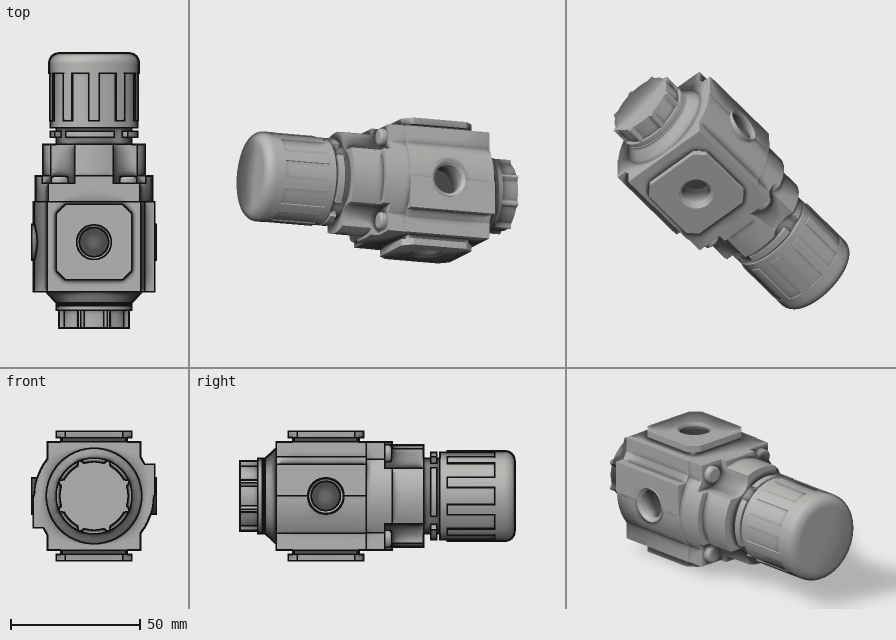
import cadquery as cq
import math


CAP_END_Y = -33.25
CAP_COLLAR_Y = -26.35
GROOVE_OUTER_Y = -24.65
GROOVE_INNER_Y = -24.05
CONE_END_Y = -23.4
HOUSING_END_Y = -19.3
JOINT_Y = 15.7
POCKET_FLOOR_Y = 22.75
FLANGE_TOP_Y = 25.7
BONNET_TOP_Y = 37.9
RING_BOTTOM_Y = 40.6
RING_TOP_Y = 43.0
KNOB_BOTTOM_Y = 44.2
RIB_BOTTOM_Y = 47.1
RIB_TOP_Y = 65.4
OVERALL_LENGTH = 106.5
KNOB_END_Y = CAP_END_Y + OVERALL_LENGTH

HALF_HEIGHT = 21.0
HOUSING_HALF_WIDTH = 18.1
HOUSING_RADIUS = 23.1
PAD_X = 23.6
PAD_HALF_WIDTH = 12.3
PAD_CHAMFER_TOP_X = 19.6
PAD_CHAMFER_BASE_Z = 15.1
CONE_RADIUS = 18.5

PLATE_TOP_Z = 25.125
PLATE_BOTTOM_Z = 22.6
PLATE_SIZE = 29.3
PLATE_CHAMFER = 3.55
PLATE_NECK_SIZE = 25.8
PLATE_NECK_CHAMFER = 0.7
SIDE_BOSS_X = 24.2
SIDE_BOSS_RADIUS = 7.0
PORT_RADIUS = 5.65
PORT_DEPTH = 12.0
PLATE_PORT_CHAMFER = 1.05
SIDE_PORT_CHAMFER = 1.15

COLLAR_RADIUS = 14.7
GROOVE_RADIUS = 13.7
CAP_RADIUS = 14.65
CAP_ROOT_RADIUS = 13.2
RECESS_COUNT = 8
RECESS_FLOOR_HALF_WIDTH = 3.75
RECESS_MOUTH_HALF_WIDTH = 5.2

FLANGE_HALF_WIDTH = 17.75
FLANGE_RADIUS = 22.75
BONNET_RADIUS = 19.85
SCREW_X = 13.3
SCREW_Z = 16.55
POCKET_RADIUS = 5.8
SCREW_HEAD_RADIUS = 3.35
SCREW_HEAD_HEIGHT = 2.7
SCREW_HEAD_FILLET = 1.1
NECK_RADIUS = 14.7
RING_RADIUS = 17.0
NOTCH_COUNT = 4
NOTCH_RADIUS = 3.4
NOTCH_ANGLE = math.degrees(math.atan2(SCREW_Z, SCREW_X))

KNOB_RADIUS = 17.5
GRIP_RADIUS = 17.0
KNOB_FILLET = 4.0
RIB_COUNT = 10
RIB_WIDTH = 4.1


def section_at(y):
    """Workplane at station y with local axes X and Z; extruding goes toward -Y."""
    return cq.Workplane("XZ", origin=(0, y, 0))


def disc(radius, y_low, y_high):
    return section_at(y_high).circle(radius).extrude(y_high - y_low)


def block(half_width, radius, y_low, y_high):
    """Rectangle widened by a cylinder that is cut off flush with its top and bottom."""
    length = y_high - y_low
    core = section_at(y_high).rect(2 * half_width, 2 * HALF_HEIGHT).extrude(length)
    bulge_limit = section_at(y_high).rect(2 * radius, 2 * HALF_HEIGHT).extrude(length)
    return core.union(disc(radius, y_low, y_high).intersect(bulge_limit))


def side_pad():
    """Flat pad on the lower half of the -X side."""
    return (
        section_at(JOINT_Y)
        .polyline([
            (0, 0),
            (-PAD_X, 0),
            (-PAD_X, -PAD_HALF_WIDTH),
            (-PAD_CHAMFER_TOP_X, -PAD_HALF_WIDTH),
            (-HOUSING_HALF_WIDTH, -PAD_CHAMFER_BASE_Z),
            (0, -PAD_CHAMFER_BASE_Z),
        ])
        .close()
        .extrude(JOINT_Y - HOUSING_END_Y)
    )


def port_plate():
    """Square connection plate on a smaller neck, on the +Z side."""
    neck = (
        cq.Workplane("XY", origin=(0, 0, HALF_HEIGHT))
        .rect(PLATE_NECK_SIZE, PLATE_NECK_SIZE)
        .extrude(PLATE_BOTTOM_Z - HALF_HEIGHT)
        .edges("|Z")
        .chamfer(PLATE_NECK_CHAMFER)
    )
    plate = (
        cq.Workplane("XY", origin=(0, 0, PLATE_BOTTOM_Z))
        .rect(PLATE_SIZE, PLATE_SIZE)
        .extrude(PLATE_TOP_Z - PLATE_BOTTOM_Z)
        .edges("|Z")
        .chamfer(PLATE_CHAMFER)
    )
    return neck.union(plate)


def port_bore(mouth, chamfer):
    """Blind bore along Z, open at height mouth, with a chamfered entry."""
    return (
        cq.Workplane("XZ")
        .polyline([
            (0, mouth),
            (PORT_RADIUS + chamfer, mouth),
            (PORT_RADIUS, mouth - chamfer),
            (PORT_RADIUS, mouth - PORT_DEPTH),
            (0, mouth - PORT_DEPTH),
        ])
        .close()
        .revolve(360, (0, 0, 0), (0, 1, 0))
    )


def cap():
    """Cone, grooved collar and gripped cap end."""
    turned = (
        cq.Workplane("XY")
        .polyline([
            (0, HOUSING_END_Y),
            (CONE_RADIUS, HOUSING_END_Y),
            (COLLAR_RADIUS, CONE_END_Y),
            (COLLAR_RADIUS, GROOVE_INNER_Y),
            (GROOVE_RADIUS, GROOVE_INNER_Y),
            (GROOVE_RADIUS, GROOVE_OUTER_Y),
            (COLLAR_RADIUS, GROOVE_OUTER_Y),
            (COLLAR_RADIUS, CAP_COLLAR_Y),
            (CAP_RADIUS, CAP_COLLAR_Y),
            (CAP_RADIUS, CAP_END_Y),
            (0, CAP_END_Y),
        ])
        .close()
        .revolve(360, (0, 0, 0), (0, 1, 0))
    )
    floor_z = math.sqrt(CAP_ROOT_RADIUS**2 - RECESS_FLOOR_HALF_WIDTH**2)
    mouth_z = math.sqrt(CAP_RADIUS**2 - RECESS_MOUTH_HALF_WIDTH**2)
    recess = (
        section_at(CAP_COLLAR_Y)
        .moveTo(-RECESS_FLOOR_HALF_WIDTH, floor_z)
        .threePointArc((0, CAP_ROOT_RADIUS), (RECESS_FLOOR_HALF_WIDTH, floor_z))
        .lineTo(RECESS_MOUTH_HALF_WIDTH, mouth_z)
        .lineTo(RECESS_MOUTH_HALF_WIDTH, CAP_RADIUS)
        .lineTo(-RECESS_MOUTH_HALF_WIDTH, CAP_RADIUS)
        .lineTo(-RECESS_MOUTH_HALF_WIDTH, mouth_z)
        .close()
        .extrude(CAP_COLLAR_Y - CAP_END_Y)
    )
    for i in range(RECESS_COUNT):
        turned = turned.cut(recess.rotate((0, 0, 0), (0, 1, 0), i * 360 / RECESS_COUNT))
    return turned


def make_housing():
    body = block(HOUSING_HALF_WIDTH, HOUSING_RADIUS, HOUSING_END_Y, JOINT_Y).union(cap())
    side_boss = cq.Workplane("YZ").circle(SIDE_BOSS_RADIUS).extrude(SIDE_BOSS_X, both=True)
    body = body.union(side_boss)
    side_bore = port_bore(SIDE_BOSS_X, SIDE_PORT_CHAMFER).rotate((0, 0, 0), (0, 1, 0), 90)
    plate_bore = port_bore(PLATE_TOP_Z, PLATE_PORT_CHAMFER)
    for turn in (0, 180):
        body = body.union(side_pad().rotate((0, 0, 0), (0, 1, 0), turn))
        body = body.union(port_plate().rotate((0, 0, 0), (0, 1, 0), turn))
    for turn in (0, 180):
        body = body.cut(side_bore.rotate((0, 0, 0), (0, 1, 0), turn))
        body = body.cut(plate_bore.rotate((0, 0, 0), (0, 1, 0), turn))
    return body


def screw_pocket(side_x, side_z):
    """Corner pocket around a screw, open outward, with a round inner corner."""
    inner_x = SCREW_X - POCKET_RADIUS
    inner_z = SCREW_Z - POCKET_RADIUS
    width = FLANGE_RADIUS - inner_x
    height = FLANGE_RADIUS - inner_z
    depth = BONNET_TOP_Y - POCKET_FLOOR_Y
    mid_x = side_x * (inner_x + width / 2)
    mid_z = side_z * (inner_z + height / 2)
    x_edge = "<X" if side_x > 0 else ">X"
    z_edge = "<Z" if side_z > 0 else ">Z"
    pocket = section_at(BONNET_TOP_Y).center(mid_x, mid_z).rect(width, height).extrude(depth)
    return pocket.faces(x_edge).edges("|Y").edges(z_edge).fillet(POCKET_RADIUS)


def screw_head(side_x, side_z):
    return (
        section_at(POCKET_FLOOR_Y + SCREW_HEAD_HEIGHT)
        .center(side_x * SCREW_X, side_z * SCREW_Z)
        .circle(SCREW_HEAD_RADIUS)
        .extrude(SCREW_HEAD_HEIGHT)
        .faces(">Y")
        .edges()
        .fillet(SCREW_HEAD_FILLET)
    )


def lock_ring():
    """Ring on the neck with round wrench notches that reach the neck."""
    ring = disc(RING_RADIUS, RING_BOTTOM_Y, RING_TOP_Y)
    notches = (
        section_at(RING_TOP_Y)
        .polarArray(RING_RADIUS, NOTCH_ANGLE, 360, NOTCH_COUNT)
        .circle(NOTCH_RADIUS)
        .extrude(RING_TOP_Y - RING_BOTTOM_Y)
    )
    return ring.cut(notches)


def knob():
    """Rounded knob whose grip ribs stand flush with its upper band."""
    band = disc(KNOB_RADIUS, RIB_TOP_Y, KNOB_END_Y).faces(">Y").edges().fillet(KNOB_FILLET)
    body = band.union(disc(GRIP_RADIUS, KNOB_BOTTOM_Y, RIB_TOP_Y))
    rib_limit = disc(KNOB_RADIUS, RIB_BOTTOM_Y, RIB_TOP_Y)
    rib_bar = (
        section_at(RIB_TOP_Y)
        .center(0, KNOB_RADIUS / 2)
        .rect(RIB_WIDTH, KNOB_RADIUS)
        .extrude(RIB_TOP_Y - RIB_BOTTOM_Y)
    )
    rib = rib_bar.intersect(rib_limit)
    for i in range(RIB_COUNT):
        body = body.union(rib.rotate((0, 0, 0), (0, 1, 0), i * 360 / RIB_COUNT))
    return body


def make_bonnet():
    body = block(FLANGE_HALF_WIDTH, FLANGE_RADIUS, JOINT_Y, FLANGE_TOP_Y)
    body = body.union(disc(BONNET_RADIUS, FLANGE_TOP_Y, BONNET_TOP_Y))
    for side_x in (-1, 1):
        for side_z in (-1, 1):
            body = body.cut(screw_pocket(side_x, side_z))
            body = body.union(screw_head(side_x, side_z))
    body = body.union(disc(NECK_RADIUS, BONNET_TOP_Y, KNOB_BOTTOM_Y))
    return body.union(lock_ring()).union(knob())


housing = make_housing()
bonnet = make_bonnet()

result = cq.Compound.makeCompound([housing.val(), bonnet.val()])